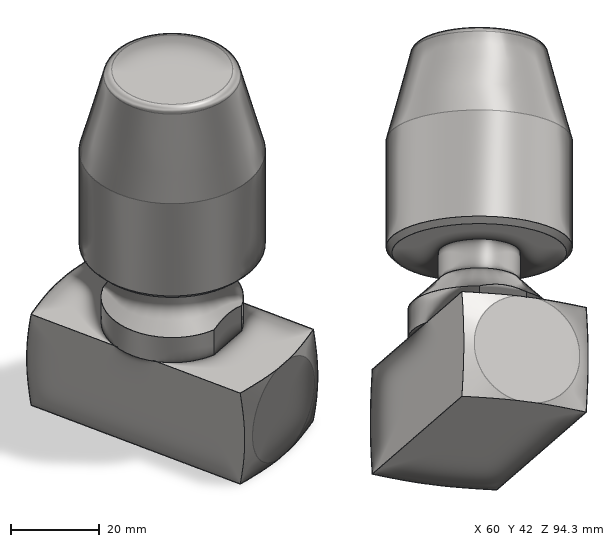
import cadquery as cq
import math

body_length = 60.0
body_width = 30.0
body_height = 25.0
end_face_diameter = 25.5
end_chamfer_angle = 15.0
corner_clearance = 0.9

collar_diameter = 32.1
flats_width = body_width
collar_top = 31.9
stem_diameter = 18.5
stem_bottom = 38.6

knob_diameter = 42.0
knob_bottom = 45.45
knob_chamfer = 1.3
taper_bottom = 72.1
total_height = 94.3
taper_top_diameter = 30.2
knob_top_fillet = 1.9


def make_body():
    """Block whose end corners are trimmed by a coaxial cone at each end."""
    block = cq.Workplane("XY").box(body_length, body_width, body_height, centered=(True, True, False))
    half_length = body_length / 2
    end_radius = end_face_diameter / 2
    envelope_radius = math.hypot(body_width, body_height) / 2 + corner_clearance
    chamfer_length = (envelope_radius - end_radius) * math.tan(math.radians(end_chamfer_angle))
    envelope = (
        cq.Workplane("XY")
        .moveTo(-half_length, 0)
        .lineTo(-half_length, end_radius)
        .lineTo(-half_length + chamfer_length, envelope_radius)
        .lineTo(half_length - chamfer_length, envelope_radius)
        .lineTo(half_length, end_radius)
        .lineTo(half_length, 0)
        .close()
        .revolve(360, (0, 0, 0), (1, 0, 0))
        .translate((0, 0, body_height / 2))
    )
    return block.intersect(envelope)


def make_bonnet():
    """Collar, cone and stem, with wrench flats facing -X and +X."""
    collar_radius = collar_diameter / 2
    stem_radius = stem_diameter / 2
    turned = (
        cq.Workplane("XZ")
        .moveTo(0, body_height)
        .lineTo(collar_radius, body_height)
        .lineTo(collar_radius, collar_top)
        .lineTo(stem_radius, stem_bottom)
        .lineTo(stem_radius, knob_bottom)
        .lineTo(0, knob_bottom)
        .close()
        .revolve(360, (0, 0, 0), (0, 1, 0))
    )
    flats = cq.Workplane("XY").box(
        flats_width, collar_diameter, total_height, centered=(True, True, False)
    )
    return turned.intersect(flats)


def make_knob():
    """Chamfered cylinder with a tapered, rounded top."""
    knob_radius = knob_diameter / 2
    return (
        cq.Workplane("XZ")
        .moveTo(0, knob_bottom)
        .lineTo(knob_radius - knob_chamfer, knob_bottom)
        .lineTo(knob_radius, knob_bottom + knob_chamfer)
        .lineTo(knob_radius, taper_bottom)
        .lineTo(taper_top_diameter / 2, total_height)
        .lineTo(0, total_height)
        .close()
        .revolve(360, (0, 0, 0), (0, 1, 0))
        .faces(">Z")
        .edges()
        .fillet(knob_top_fillet)
    )


result = make_body().union(make_bonnet()).union(make_knob())